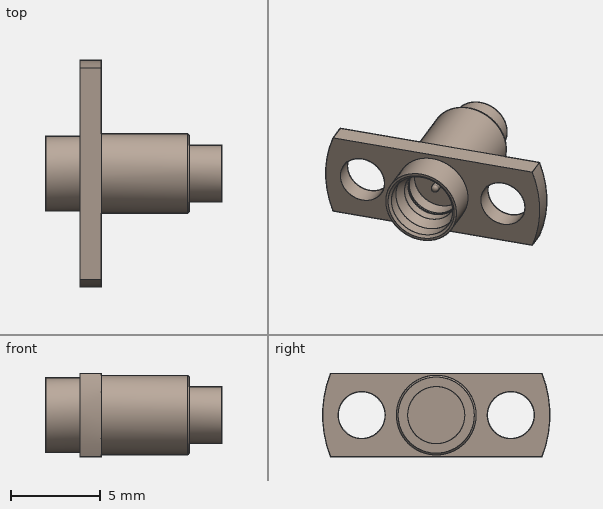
import cadquery as cq
import math

socket_length = 1.9
flange_thickness = 1.2
body_length = 4.9
tail_length = 1.8

socket_diameter = 4.18
body_diameter = 4.44
tail_diameter = 3.18
body_chamfer = 0.1

flange_span = 12.66
flange_height = 4.65
mounting_hole_diameter = 2.6
mounting_hole_spacing = 8.3

mouth_radius = 1.955
entry_radius = 1.81
bore_radius = 1.5
mouth_chamfer_depth = 0.15
entry_depth = 0.9
taper_end_depth = 1.45
groove_start_depth = 2.1
groove_end_depth = 2.23
groove_radius = 1.545
bore_depth = socket_length + flange_thickness

pin_radius = 0.215
pin_length = 1.0

flange_start = socket_length
body_start = flange_start + flange_thickness
body_end = body_start + body_length


def revolve_profile(points):
    """Revolve a closed (x, radius) outline about the X axis."""
    profile = cq.Workplane("XY").polyline(points).close()
    return profile.revolve(360, (0, 0, 0), (1, 0, 0))


def cylinder(start, length, radius):
    """Solid cylinder along X beginning at the given X position."""
    return cq.Workplane("YZ", origin=(start, 0, 0)).circle(radius).extrude(length)


def make_flange():
    """Plate with flat long sides, rounded ends and two mounting holes."""
    end_radius = flange_span / 2
    half_height = flange_height / 2
    corner_y = math.sqrt(end_radius**2 - half_height**2)
    holes = [(-mounting_hole_spacing / 2, 0), (mounting_hole_spacing / 2, 0)]
    return (
        cq.Workplane("YZ", origin=(flange_start, 0, 0))
        .moveTo(-corner_y, -half_height)
        .lineTo(corner_y, -half_height)
        .threePointArc((end_radius, 0), (corner_y, half_height))
        .lineTo(-corner_y, half_height)
        .threePointArc((-end_radius, 0), (-corner_y, -half_height))
        .close()
        .pushPoints(holes)
        .circle(mounting_hole_diameter / 2)
        .extrude(flange_thickness)
    )


def make_body():
    """Main barrel behind the flange, chamfered at its rear edge."""
    barrel = cylinder(body_start, body_length, body_diameter / 2)
    return barrel.faces(">X").edges().chamfer(body_chamfer)


def make_bore():
    """Cavity: mouth chamfer, entry cylinder, taper, and inner cylinder with a detent groove."""
    return revolve_profile([
        (0, 0),
        (0, mouth_radius),
        (mouth_chamfer_depth, entry_radius),
        (entry_depth, entry_radius),
        (taper_end_depth, bore_radius),
        (groove_start_depth, bore_radius),
        (groove_start_depth, groove_radius),
        (groove_end_depth, bore_radius),
        (bore_depth, bore_radius),
        (bore_depth, 0),
    ])


def make_pin():
    """Contact pin standing on the bore floor, with a hemispherical tip."""
    shoulder = bore_depth - pin_length + pin_radius
    shank = cylinder(shoulder, bore_depth - shoulder, pin_radius)
    tip = cq.Workplane("XY", origin=(shoulder, 0, 0)).sphere(pin_radius)
    return shank.union(tip)


socket = cylinder(0, body_start, socket_diameter / 2)
tail = cylinder(body_end, tail_length, tail_diameter / 2)
shell = make_flange().union(socket).union(make_body()).union(tail)
result = shell.cut(make_bore()).union(make_pin())